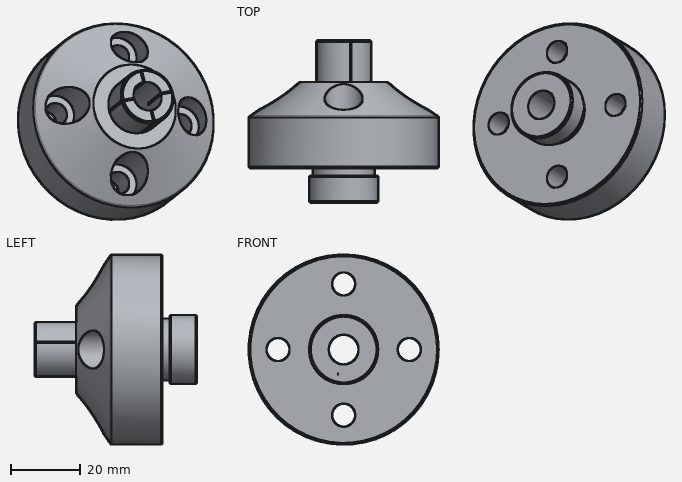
import cadquery as cq

FLANGE_DIAMETER = 55.0
NOSE_DIAMETER = 20.0
RELIEF_DIAMETER = 18.05
BACK_FACE_DIAMETER = 25.1
BORE_DIAMETER = 8.5
COLLET_DIAMETER = 16.0
EDGE_CHAMFER = 0.5

NOSE_LENGTH = 8.0
RELIEF_LENGTH = 2.0
RIM_WIDTH = 15.0
CONE_LENGTH = 10.0
COLLET_PROTRUSION = 12.05
COLLET_SEAT_DEPTH = 9.9

BOLT_COUNT = 4
BOLT_CIRCLE_DIAMETER = 37.95
BOLT_HOLE_DIAMETER = 6.6
BOLT_HEAD_DIAMETER = 11.0
BOLT_SEAT_THICKNESS = 10.0

SLOT_COUNT = 4
SLOT_WIDTH = 0.5
SLOT_START_ANGLE = 15.0

FLANGE_FRONT = NOSE_LENGTH + RELIEF_LENGTH
RIM_BACK = FLANGE_FRONT + RIM_WIDTH
BACK_FACE = RIM_BACK + CONE_LENGTH
COLLET_START = BACK_FACE - COLLET_SEAT_DEPTH
COLLET_END = BACK_FACE + COLLET_PROTRUSION


def cylinder(diameter, start, end, x=0.0, z=0.0):
    """Solid cylinder parallel to Y between two stations."""
    return cq.Workplane(
        cq.Solid.makeCylinder(diameter / 2, end - start, cq.Vector(x, start, z), cq.Vector(0, 1, 0))
    )


def make_hub_blank():
    """Revolved nose, thread relief, flange rim and conical back."""
    flange_radius = FLANGE_DIAMETER / 2
    nose_radius = NOSE_DIAMETER / 2
    relief_radius = RELIEF_DIAMETER / 2
    inner_flange_radius = flange_radius - EDGE_CHAMFER
    inner_nose_radius = nose_radius - EDGE_CHAMFER
    outline = [
        (0, 0),
        (inner_nose_radius, 0),
        (nose_radius, EDGE_CHAMFER),
        (nose_radius, NOSE_LENGTH - EDGE_CHAMFER),
        (inner_nose_radius, NOSE_LENGTH),
        (relief_radius, NOSE_LENGTH),
        (relief_radius, FLANGE_FRONT),
        (inner_flange_radius, FLANGE_FRONT),
        (flange_radius, FLANGE_FRONT + EDGE_CHAMFER),
        (flange_radius, RIM_BACK - EDGE_CHAMFER / 2),
        (inner_flange_radius, RIM_BACK + EDGE_CHAMFER / 2),
        (BACK_FACE_DIAMETER / 2, BACK_FACE),
        (0, BACK_FACE),
    ]
    return cq.Workplane("XY").polyline(outline).close().revolve(360, (0, 0, 0), (0, 1, 0))


def make_bolt_holes():
    """Cutters for the counterbored bolt holes, with the heads let into the cone."""
    radius = BOLT_CIRCLE_DIAMETER / 2
    seat = FLANGE_FRONT + BOLT_SEAT_THICKNESS
    hole = cylinder(BOLT_HOLE_DIAMETER, FLANGE_FRONT, seat, x=radius)
    cutter = hole.union(cylinder(BOLT_HEAD_DIAMETER, seat, BACK_FACE, x=radius))
    return [cutter.rotate((0, 0, 0), (0, 1, 0), i * 360 / BOLT_COUNT) for i in range(BOLT_COUNT)]


def make_hub():
    hub = make_hub_blank()
    hub = hub.cut(cylinder(BORE_DIAMETER, 0, BACK_FACE))
    hub = hub.cut(cylinder(COLLET_DIAMETER, COLLET_START, BACK_FACE))
    for bolt_hole in make_bolt_holes():
        hub = hub.cut(bolt_hole)
    return hub


def make_collet():
    """Sleeve seated in the hub; its exposed end is slit into fingers."""
    collet = cylinder(COLLET_DIAMETER, COLLET_START, COLLET_END)
    collet = collet.faces(">Y").chamfer(EDGE_CHAMFER)
    collet = collet.cut(cylinder(BORE_DIAMETER, COLLET_START, COLLET_END))
    slot_blank = cq.Workplane("XY").box(
        COLLET_DIAMETER, COLLET_PROTRUSION, SLOT_WIDTH, centered=(False, False, True)
    ).translate((0, BACK_FACE, 0))
    for i in range(SLOT_COUNT):
        angle = SLOT_START_ANGLE + i * 360 / SLOT_COUNT
        collet = collet.cut(slot_blank.rotate((0, 0, 0), (0, 1, 0), angle))
    return collet


hub = make_hub()
collet = make_collet()
result = cq.Compound.makeCompound([hub.val(), collet.val()])